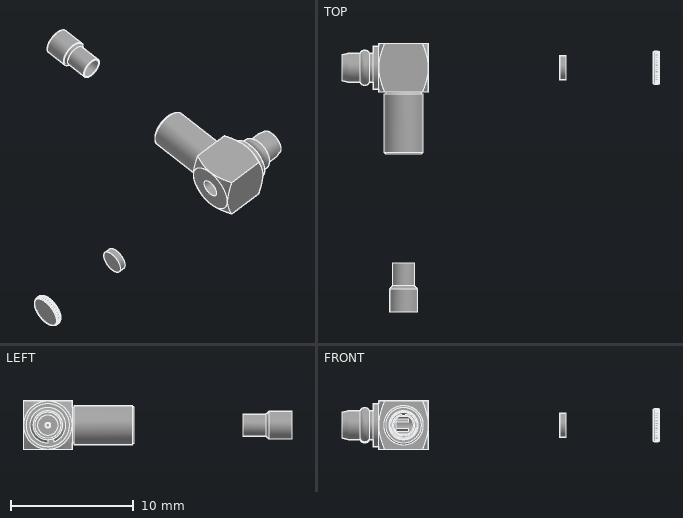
import cadquery as cq
import math


block_width = 4.05
block_depth = 3.98
block_corner_angle = 30
block_face_radius = 1.96

nose_tip_x = -5.01
nose_taper_length = 0.55
nose_tip_radius = 1.05
nose_radius = 1.2
nose_bore_radius = 0.83
flange_radius = 1.75
flange_length = 0.45

ring_width = 0.75
ring_radius = 1.45
ring_centre_x = -3.15
ring_groove_radius = 1.03
ring_gap_angle = 21

tube_end_y = -7.03
tube_radius = 1.6
tube_end_chamfer = 0.15
tube_bore_radius = 1.2
tube_bore_depth = 1.15
tube_inner_radius = 0.93
neck_radius = 1.45
neck_length = 0.13

chamber_radius = 0.72
insulator_rear_x = -0.62
pin_tip_x = -4.57
pin_radius = 0.23
pin_tip_chamfer = 0.08
barrel_radius = 0.52
barrel_seat_depth = 0.52
barrel_end_x = 0.4
slot_width = 0.52

overall_depth = 21.85
ferrule_end_y = block_depth / 2 - overall_depth
ferrule_large_radius = 1.14
ferrule_small_radius = 0.9
ferrule_wall = 0.1
ferrule_large_length = 1.89
ferrule_cone_length = 0.25
ferrule_small_length = 1.85

disc_x = 12.7
disc_thickness = 0.55
disc_radius = 0.98
overall_width = 25.85
cap_end_x = nose_tip_x + overall_width
cap_thickness = 0.52
cap_root_radius = 1.3
cap_tip_radius = 1.37
cap_plain_length = 0.13
cap_bevel_length = 0.15
cap_teeth = 36

block_left_x = -block_width / 2
block_right_x = block_width / 2
flange_x = block_left_x - flange_length
barrel_start_x = insulator_rear_x - barrel_seat_depth


def cylinder_x(radius, start, end):
    """Cylinder on the plug axis between two X positions."""
    return cq.Workplane("YZ", origin=(start, 0, 0)).circle(radius).extrude(end - start)


def cylinder_y(radius, start, end):
    """Cylinder on the cable axis between two Y positions, start being the higher Y."""
    return cq.Workplane("XZ", origin=(0, start, 0)).circle(radius).extrude(start - end)


def revolve_about_x(points):
    """Full revolution about the plug axis of an outline of (x, radius) points."""
    return cq.Workplane("XY").polyline(points).close().revolve(360, (0, 0, 0), (1, 0, 0))


def revolve_about_y(points):
    """Full revolution about the cable axis of an outline of (radius, y) points."""
    return cq.Workplane("XY").polyline(points).close().revolve(360, (0, 0, 0), (0, 1, 0))


def ring_profile():
    """Outline of the snap ring section: straight in its groove, crowned outside the nose."""
    left = ring_centre_x - ring_width / 2
    right = ring_centre_x + ring_width / 2
    return (
        cq.Workplane("XY")
        .moveTo(left, ring_groove_radius)
        .lineTo(left, nose_radius)
        .threePointArc((ring_centre_x, ring_radius), (right, nose_radius))
        .lineTo(right, ring_groove_radius)
        .close()
    )


def make_block():
    """Block whose corners are turned down at both X ends by a cone."""
    block = cq.Workplane("XY").box(block_width, block_depth, block_depth)
    corner_radius = block_depth / math.sqrt(2)
    corner_drop = (corner_radius - block_face_radius) * math.tan(math.radians(block_corner_angle))
    envelope = revolve_about_x([
        (block_left_x, 0),
        (block_left_x, block_face_radius),
        (block_left_x + corner_drop, corner_radius),
        (block_right_x - corner_drop, corner_radius),
        (block_right_x, block_face_radius),
        (block_right_x, 0),
    ])
    return block.intersect(envelope)


def make_nose():
    """Tapered nose with its flange, grooved for the snap ring."""
    nose = revolve_about_x([
        (nose_tip_x, 0),
        (nose_tip_x, nose_tip_radius),
        (nose_tip_x + nose_taper_length, nose_radius),
        (flange_x, nose_radius),
        (flange_x, flange_radius),
        (block_left_x, flange_radius),
        (block_left_x, 0),
    ])
    ring_left_x = ring_centre_x - ring_width / 2
    ring_right_x = ring_centre_x + ring_width / 2
    groove = cylinder_x(nose_radius, ring_left_x, ring_right_x)
    groove = groove.cut(cylinder_x(ring_groove_radius, ring_left_x, ring_right_x))
    return nose.cut(groove)


def make_tube():
    """Cable tube with a narrow neck at the block and a chamfered open end."""
    block_y = -block_depth / 2
    return revolve_about_y([
        (0, block_y),
        (neck_radius, block_y),
        (neck_radius, block_y - neck_length),
        (tube_radius, block_y - neck_length),
        (tube_radius, tube_end_y + tube_end_chamfer),
        (tube_radius - tube_end_chamfer, tube_end_y),
        (0, tube_end_y),
    ])


def make_housing():
    housing = make_block().union(make_nose()).union(make_tube())
    housing = housing.cut(cylinder_x(nose_bore_radius, nose_tip_x, insulator_rear_x))
    housing = housing.cut(cylinder_x(chamber_radius, insulator_rear_x, block_right_x))
    housing = housing.cut(cylinder_y(tube_bore_radius, tube_end_y + tube_bore_depth, tube_end_y))
    return housing.cut(cylinder_y(tube_inner_radius, 0, tube_end_y))


def make_snap_ring():
    """Split ring; the gap starts straight below the axis and opens toward -Y."""
    ring = ring_profile().revolve(360 - ring_gap_angle, (0, 0, 0), (1, 0, 0))
    return ring.rotate((0, 0, 0), (1, 0, 0), -90)


def make_insulator():
    insulator = cylinder_x(nose_bore_radius, flange_x, insulator_rear_x)
    insulator = insulator.cut(cylinder_x(pin_radius, flange_x, insulator_rear_x))
    return insulator.cut(cylinder_x(barrel_radius, barrel_start_x, insulator_rear_x))


def make_pin():
    """Contact pin with a barrel at its rear, slotted along the cable axis."""
    pin = cylinder_x(pin_radius, pin_tip_x, barrel_start_x).faces("<X").chamfer(pin_tip_chamfer)
    pin = pin.union(cylinder_x(barrel_radius, barrel_start_x, barrel_end_x))
    slot_length = barrel_end_x - insulator_rear_x
    slot = (
        cq.Workplane("XY")
        .box(slot_length, 2 * barrel_radius, slot_width)
        .translate((insulator_rear_x + slot_length / 2, 0, 0))
    )
    return pin.cut(slot)


def make_ferrule():
    """Thin stepped sleeve with a short cone between its two diameters."""
    cone_start_y = ferrule_end_y + ferrule_large_length
    cone_end_y = cone_start_y + ferrule_cone_length
    top_y = cone_end_y + ferrule_small_length
    return revolve_about_y([
        (ferrule_large_radius, ferrule_end_y),
        (ferrule_large_radius, cone_start_y),
        (ferrule_small_radius, cone_end_y),
        (ferrule_small_radius, top_y),
        (ferrule_small_radius - ferrule_wall, top_y),
        (ferrule_small_radius - ferrule_wall, cone_end_y),
        (ferrule_large_radius - ferrule_wall, cone_start_y),
        (ferrule_large_radius - ferrule_wall, ferrule_end_y),
    ])


def make_disc():
    return cylinder_x(disc_radius, disc_x, disc_x + disc_thickness)


def cap_teeth_outline():
    """Closed ring of V-shaped teeth as (y, z) points."""
    outline = []
    for i in range(2 * cap_teeth):
        radius = cap_tip_radius if i % 2 == 0 else cap_root_radius
        angle = math.pi * i / cap_teeth
        outline.append((radius * math.cos(angle), radius * math.sin(angle)))
    return outline


def make_cap():
    """Round cap beveled at both ends, with teeth around its rim past the plain -X bevel."""
    start_x = cap_end_x - cap_thickness
    teeth_x = start_x + cap_plain_length
    cap = revolve_about_x([
        (start_x, 0),
        (start_x, cap_root_radius),
        (teeth_x, cap_tip_radius),
        (cap_end_x - cap_bevel_length, cap_tip_radius),
        (cap_end_x, cap_root_radius),
        (cap_end_x, 0),
    ])
    teeth_length = cap_end_x - teeth_x
    rim = cylinder_x(cap_tip_radius, teeth_x, cap_end_x)
    toothed = cq.Workplane("YZ", origin=(teeth_x, 0, 0)).polyline(cap_teeth_outline()).close()
    return cap.cut(rim.cut(toothed.extrude(teeth_length)))


housing = make_housing()
snap_ring = make_snap_ring()
insulator = make_insulator()
pin = make_pin()
ferrule = make_ferrule()
disc = make_disc()
cap = make_cap()

result = cq.Compound.makeCompound([
    housing.val(),
    snap_ring.val(),
    insulator.val(),
    pin.val(),
    ferrule.val(),
    disc.val(),
    cap.val(),
])